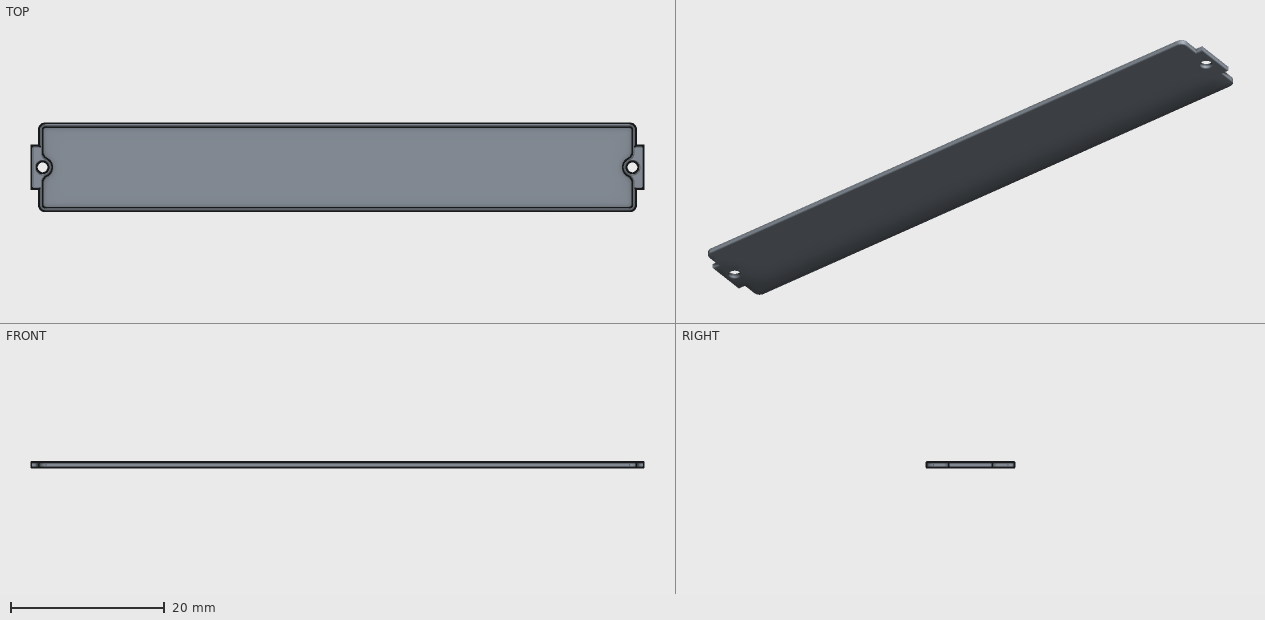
import cadquery as cq

overall_length = 79.8
width = 11.5
height = 0.8
tab_reach = 1.0
tab_width = 5.7
floor_thickness = 0.4
rim_thickness = 0.5
corner_radius = 0.9
edge_radius = 0.2
hole_diameter = 1.5
hole_spacing = 76.8
boss_diameter = 2.5
boss_blend_radius = 1.0

tray_length = overall_length - 2 * tab_reach
pocket_length = tray_length - 2 * rim_thickness
pocket_width = width - 2 * rim_thickness
pocket_depth = height - floor_thickness
pocket_corner_radius = corner_radius - rim_thickness
hole_centers = [(-hole_spacing / 2, 0), (hole_spacing / 2, 0)]


def make_block(length, depth):
    """Full-height block centred on the origin, standing on the XY plane."""
    return cq.Workplane("XY").box(length, depth, height, centered=(True, True, False))


def make_cylinders(diameter):
    """Full-height cylinders at the two hole centres."""
    return cq.Workplane("XY").pushPoints(hole_centers).circle(diameter / 2).extrude(height)


def make_body():
    """Plate with rounded corners and a full-height tab in the middle of each end."""
    plate = make_block(tray_length, width).edges("|Z").fillet(corner_radius)
    return plate.union(make_block(overall_length, tab_width))


def make_pocket():
    """Shallow recess inside the rim that bends smoothly around a round boss at each end."""
    recess = (
        cq.Workplane("XY")
        .workplane(offset=floor_thickness)
        .rect(pocket_length, pocket_width)
        .extrude(pocket_depth)
        .cut(make_cylinders(boss_diameter))
    )
    recess = recess.edges("|Z and (not (>Y or <Y))").fillet(boss_blend_radius)
    return recess.edges("|Z and (>Y or <Y)").fillet(pocket_corner_radius)


def round_outer_edges(part):
    """Round every edge of the top and bottom faces: outline, rim and screw holes."""
    return part.faces(">Z or <Z").edges().fillet(edge_radius)


tray = make_body().cut(make_pocket()).cut(make_cylinders(hole_diameter))
result = round_outer_edges(tray)